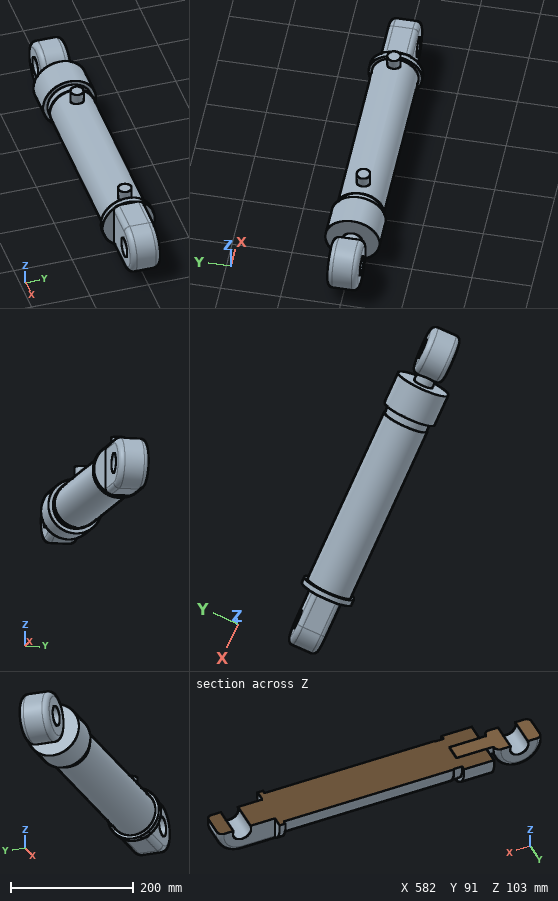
import cadquery as cq

OVERALL_LENGTH = 582.0

EYE_RADIUS = 42.0
EYE_WIDTH = 51.0
EYE_FILLET = 9.5
PIN_HOLE_RADIUS = 16.5
LUG_PIN_X = OVERALL_LENGTH - 2 * EYE_RADIUS

GLAND_START = 53.5
GLAND_END = 108.0
NECK_END = 123.5
FLANGE_START = 429.0
FLANGE_END = 439.5

GLAND_RADIUS = 45.5
NECK_RADIUS = 38.0
BARREL_RADIUS = 39.0
FLANGE_RADIUS = 45.0

ROD_RADIUS = 16.5
ROD_END = GLAND_END

PORT_RADIUS = 11.0
PORT_TOP = 57.5
FRONT_PORT_X = 150.0
REAR_PORT_X = FLANGE_START - PORT_RADIUS


def shaft(start, end, radius):
    """Solid cylinder along X between two stations."""
    return cq.Workplane("YZ", origin=(start, 0, 0)).circle(radius).extrude(end - start)


def cross_cylinder(x, radius):
    """Cylinder along Y, as wide as an eye and centred on the axis."""
    return cq.Workplane("XZ", origin=(x, EYE_WIDTH / 2, 0)).circle(radius).extrude(EYE_WIDTH)


def make_rod():
    """Rounded eye with a straight rod and a pin hole."""
    eye = cross_cylinder(0, EYE_RADIUS).edges().fillet(EYE_FILLET)
    rod = eye.union(shaft(0, ROD_END, ROD_RADIUS))
    return rod.cut(cross_cylinder(0, PIN_HOLE_RADIUS))


def make_lug():
    """Round-ended lug with filleted side edges and a pin hole."""
    lug = (
        cq.Workplane("XZ", origin=(0, EYE_WIDTH / 2, 0))
        .moveTo(FLANGE_END, -EYE_RADIUS)
        .lineTo(LUG_PIN_X, -EYE_RADIUS)
        .threePointArc((LUG_PIN_X + EYE_RADIUS, 0), (LUG_PIN_X, EYE_RADIUS))
        .lineTo(FLANGE_END, EYE_RADIUS)
        .close()
        .extrude(EYE_WIDTH)
    )
    lug = lug.faces("<Y or >Y").edges("not(<X)").fillet(EYE_FILLET)
    return lug.cut(cross_cylinder(LUG_PIN_X, PIN_HOLE_RADIUS))


def make_port(x):
    """Upright port stub rising from the barrel axis."""
    return cq.Workplane("XY", origin=(x, 0, 0)).circle(PORT_RADIUS).extrude(PORT_TOP)


def make_cylinder():
    """Gland, neck, barrel, flange, ports and lug, bored for the rod."""
    body = shaft(GLAND_START, GLAND_END, GLAND_RADIUS)
    body = body.union(shaft(GLAND_END, NECK_END, NECK_RADIUS))
    body = body.union(shaft(NECK_END, FLANGE_START, BARREL_RADIUS))
    body = body.union(shaft(FLANGE_START, FLANGE_END, FLANGE_RADIUS))
    for port_x in (FRONT_PORT_X, REAR_PORT_X):
        body = body.union(make_port(port_x))
    body = body.union(make_lug())
    return body.cut(shaft(GLAND_START, ROD_END, ROD_RADIUS))


rod = make_rod()
cylinder = make_cylinder()

result = cq.Compound.makeCompound([rod.solids().val(), cylinder.solids().val()])